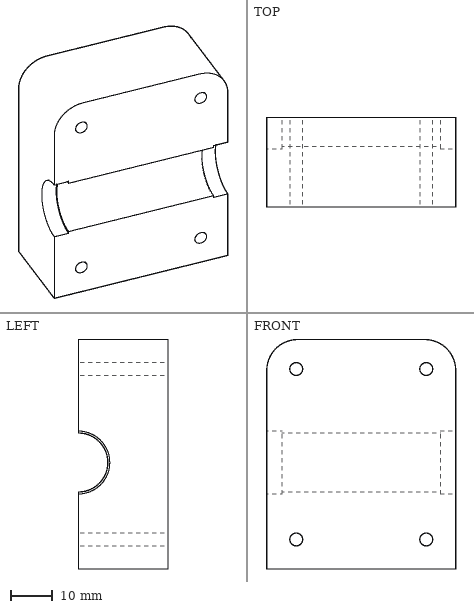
import cadquery as cq

width = 45.3
depth = 21.5
height = 55.0
corner_radius = 7.5

hole_diameter = 3.0
hole_inset = 7.1

channel_height = 25.5
channel_radius = 7.05
channel_end_radius = 7.55
channel_end_length = 3.75


def block():
    """Block with its bottom on Z = 0 and its two upper corners rounded."""
    body = cq.Workplane("XY").box(width, depth, height, centered=(True, True, False))
    return body.edges("|Y and >Z").edges("<X or >X").fillet(corner_radius)


def mounting_holes():
    return (
        cq.Workplane("XZ", origin=(0, depth / 2, height / 2))
        .rarray(width - 2 * hole_inset, height - 2 * hole_inset, 2, 2)
        .circle(hole_diameter / 2)
        .extrude(depth)
    )


def channel_cylinder(start_x, length, radius):
    """Cylinder along X whose axis lies in the back face."""
    return (
        cq.Workplane("YZ", origin=(start_x, depth / 2, channel_height))
        .circle(radius)
        .extrude(length)
    )


result = block().cut(mounting_holes())
result = result.cut(channel_cylinder(-width / 2, width, channel_radius))
for end_start in (-width / 2, width / 2 - channel_end_length):
    result = result.cut(channel_cylinder(end_start, channel_end_length, channel_end_radius))